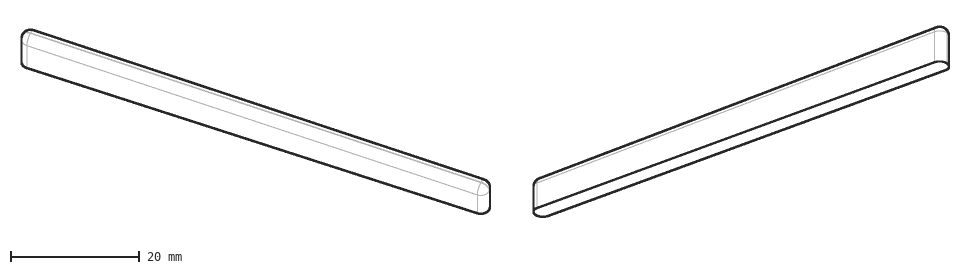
import cadquery as cq

length = 79.0
thickness = 2.9
height = 7.0
end_rise = 1.0
edge_radius = 1.4

blank = (
    cq.Workplane("XZ")
    .polyline([(0, 0), (length, end_rise), (length, height), (0, height)])
    .close()
    .extrude(thickness / 2, both=True)
)

result = blank.edges("|Z or >Z").fillet(edge_radius)